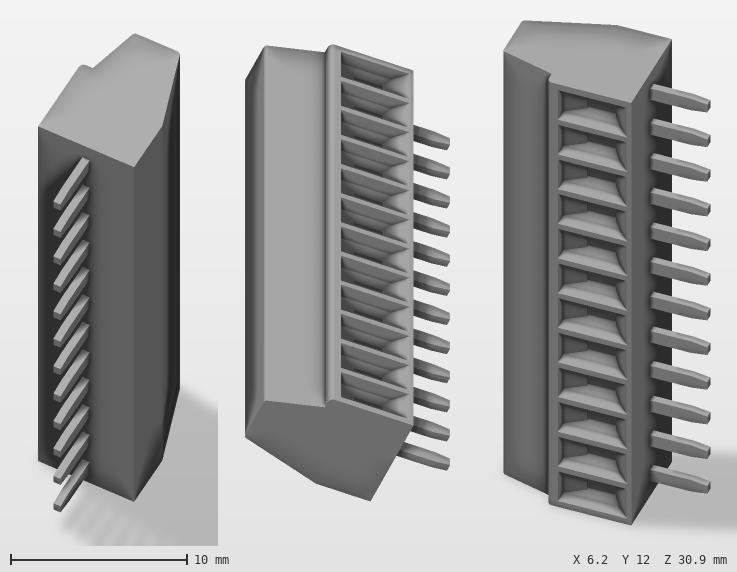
import cadquery as cq

body_length = 30.95
body_width = 6.2
body_depth = 8.5
half_width = body_width / 2
crest_half_width = 1.5
ledge_y = 5.17
ledge_inner_x = -2.35
shoulder_y = 3.37
crest_fillet = 0.22
ledge_fillet = 0.3

contact_count = 12
contact_pitch = 2.55

pin_thickness = 0.45
pin_width = 0.85
pin_tip_width = 0.55
pin_length = 3.5
pin_taper_length = 1.0

mouth_y_low = 0.25
mouth_y_high = 4.5
mouth_height = 2.17
seat_y_low = 1.42
seat_y_high = 3.2
seat_height = 1.5
mouth_depth = 0.8
throat_depth = 0.37
seat_depth = 0.2

seat_start = mouth_depth + throat_depth
throat_y_low = mouth_y_low + (seat_y_low - mouth_y_low) * mouth_depth / seat_start


def make_body():
    """Extrude the stepped, tapering profile and round its crest and ledge."""
    profile = [
        (-half_width, 0),
        (half_width, 0),
        (half_width, shoulder_y),
        (crest_half_width, body_depth),
        (-crest_half_width, body_depth),
        (ledge_inner_x, ledge_y),
        (-half_width, ledge_y),
    ]
    body = cq.Workplane("XY").polyline(profile).close().extrude(body_length)
    body = body.edges("|Z and >Y").fillet(crest_fillet)
    ledge_corner = cq.selectors.NearestToPointSelector((-half_width, ledge_y, body_length / 2))
    return body.edges(ledge_corner).fillet(ledge_fillet)


def make_pin():
    """Blade pointing along -Y, centred on Z = 0."""
    taper_start = pin_taper_length - pin_length
    outline = [
        (0, pin_width / 2),
        (taper_start, pin_width / 2),
        (-pin_length, pin_tip_width / 2),
        (-pin_length, -pin_tip_width / 2),
        (taper_start, -pin_width / 2),
        (0, -pin_width / 2),
    ]
    return cq.Workplane("YZ").polyline(outline).close().extrude(pin_thickness / 2, both=True)


def pocket_stage(start, depth, y_start, y_end, height_start, height_end):
    """Solid between two rectangles lying parallel to the -X face, centred on Z = 0."""
    start_low, start_high = y_start
    end_low, end_high = y_end
    start_centre = (start_low + start_high) / 2
    end_centre = (end_low + end_high) / 2
    return (
        cq.Workplane("YZ", origin=(start - half_width, 0, 0))
        .center(start_centre, 0)
        .rect(start_high - start_low, height_start)
        .workplane(offset=depth)
        .center(end_centre - start_centre, 0)
        .rect(end_high - end_low, height_end)
        .loft(ruled=True, combine=True)
    )


def make_pocket():
    """Mouth, throat and seat joined into one cutting solid."""
    mouth_y = (mouth_y_low, mouth_y_high)
    throat_y = (throat_y_low, mouth_y_high)
    seat_y = (seat_y_low, seat_y_high)
    mouth = pocket_stage(0, mouth_depth, mouth_y, throat_y, mouth_height, mouth_height)
    throat = pocket_stage(mouth_depth, throat_depth, throat_y, seat_y, mouth_height, seat_height)
    seat = pocket_stage(seat_start, seat_depth, seat_y, seat_y, seat_height, seat_height)
    return mouth.union(throat).union(seat)


result = make_body()
pin = make_pin()
pocket = make_pocket()
first_contact_z = (body_length - (contact_count - 1) * contact_pitch) / 2
for contact in range(contact_count):
    contact_z = first_contact_z + contact * contact_pitch
    result = result.cut(pocket.translate((0, 0, contact_z)))
    result = result.union(pin.translate((0, 0, contact_z)))